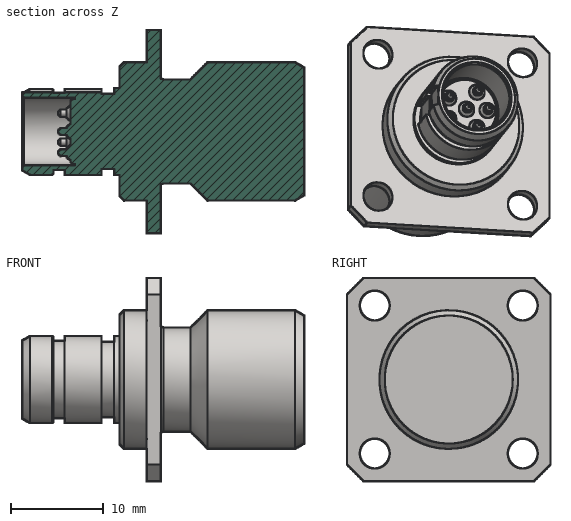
import cadquery as cq
import math

plug_lip_end = 3.4
first_groove_end = 4.6
plug_land_end = 8.6
second_groove_end = 9.95
shoulder_start = 10.5
flange_start = 13.45
flange_end = 15.0
relief_end = 15.25
neck_end = 18.2
rear_body_start = 20.05
total_length = 30.5

plug_radius = 4.72
first_groove_radius = 4.2
second_groove_radius = 4.1
body_radius = 7.5
neck_radius = 5.65
relief_step = 0.1
relief_radius = neck_radius + relief_step

lead_in_angle = math.radians(30)
plug_lead_in_length = 0.85
rear_lead_in_length = 1.0
plug_lip_chamfer = 0.15
shoulder_chamfer = 0.5

flange_side = 22.0
flange_corner_chamfer = 1.8
mounting_hole_diameter = 3.2
mounting_hole_pitch = 16.0

keyway_width = 2.1
keyway_floor = 4.25

socket_radius = 3.65
socket_depth = 5.7
mouth_chamfer = 0.2
insulator_radius = 3.55
insulator_height = 0.5
insulator_face = socket_depth - insulator_height
insulator_chamfer = 0.25

contact_circle_radius = 2.29
contact_angles = [0, 60, 150, 210, 300]
contact_base_radius = 0.85
contact_base_top_radius = 0.5
contact_base_height = 0.4
pin_radius = 0.4
pin_tip_radius = 0.1
pin_tip_height = 0.3
pin_end = 3.85


def revolve_about_x(profile):
    """Turn an (x, radius) outline, closed through the axis, into a solid."""
    return cq.Workplane("XY").polyline(profile).close().revolve(360, (0, 0), (1, 0))


def make_turned_body():
    plug_mouth_radius = plug_radius - plug_lead_in_length * math.tan(lead_in_angle)
    rear_end_radius = body_radius - rear_lead_in_length * math.tan(lead_in_angle)
    return revolve_about_x([
        (0, 0),
        (0, plug_mouth_radius),
        (plug_lead_in_length, plug_radius),
        (plug_lip_end - plug_lip_chamfer, plug_radius),
        (plug_lip_end, plug_radius - plug_lip_chamfer),
        (plug_lip_end, first_groove_radius),
        (first_groove_end, first_groove_radius),
        (first_groove_end, plug_radius),
        (plug_land_end, plug_radius),
        (plug_land_end, second_groove_radius),
        (second_groove_end, second_groove_radius),
        (second_groove_end, plug_radius),
        (shoulder_start, plug_radius),
        (shoulder_start, body_radius - shoulder_chamfer),
        (shoulder_start + shoulder_chamfer, body_radius),
        (flange_start, body_radius),
        (flange_end, body_radius),
        (flange_end, relief_radius),
        (relief_end, neck_radius),
        (neck_end, neck_radius),
        (rear_body_start, body_radius),
        (total_length - rear_lead_in_length, body_radius),
        (total_length, rear_end_radius),
        (total_length, 0),
    ])


def make_flange():
    plate = (
        cq.Workplane("YZ")
        .workplane(offset=flange_start)
        .rect(flange_side, flange_side)
        .extrude(flange_end - flange_start)
        .edges("|X")
        .chamfer(flange_corner_chamfer)
    )
    return (
        plate.faces("<X")
        .workplane(origin=(flange_start, 0, 0))
        .rect(mounting_hole_pitch, mounting_hole_pitch, forConstruction=True)
        .vertices()
        .hole(mounting_hole_diameter)
    )


def make_keyway_cutter():
    """Flat-bottomed slot running from the mouth back to the collar ahead of the shoulder."""
    return (
        cq.Workplane("XY")
        .box(second_groove_end, plug_radius, keyway_width, centered=(False, False, True))
        .translate((0, keyway_floor, 0))
    )


def make_socket_cutter():
    return revolve_about_x([
        (0, 0),
        (0, socket_radius + mouth_chamfer),
        (mouth_chamfer, socket_radius),
        (socket_depth, socket_radius),
        (socket_depth, 0),
    ])


def make_insulator():
    return revolve_about_x([
        (socket_depth, 0),
        (socket_depth, insulator_radius),
        (insulator_face + insulator_chamfer, insulator_radius),
        (insulator_face, insulator_radius - insulator_chamfer),
        (insulator_face, 0),
    ])


def make_contact():
    base_top = insulator_face - contact_base_height
    return revolve_about_x([
        (socket_depth, 0),
        (socket_depth, contact_base_radius),
        (insulator_face, contact_base_radius),
        (base_top, contact_base_top_radius),
        (base_top, pin_radius),
        (pin_end + pin_tip_height, pin_radius),
        (pin_end, pin_tip_radius),
        (pin_end, 0),
    ])


def contact_positions():
    """Centre and ring positions as (y, z), with angles measured from -Y towards +Z."""
    ring = [
        (
            -contact_circle_radius * math.cos(math.radians(angle)),
            contact_circle_radius * math.sin(math.radians(angle)),
        )
        for angle in contact_angles
    ]
    return [(0, 0)] + ring


result = make_turned_body().union(make_flange())
result = result.cut(make_keyway_cutter()).cut(make_socket_cutter())
result = result.union(make_insulator())
for y, z in contact_positions():
    result = result.union(make_contact().translate((0, y, z)))